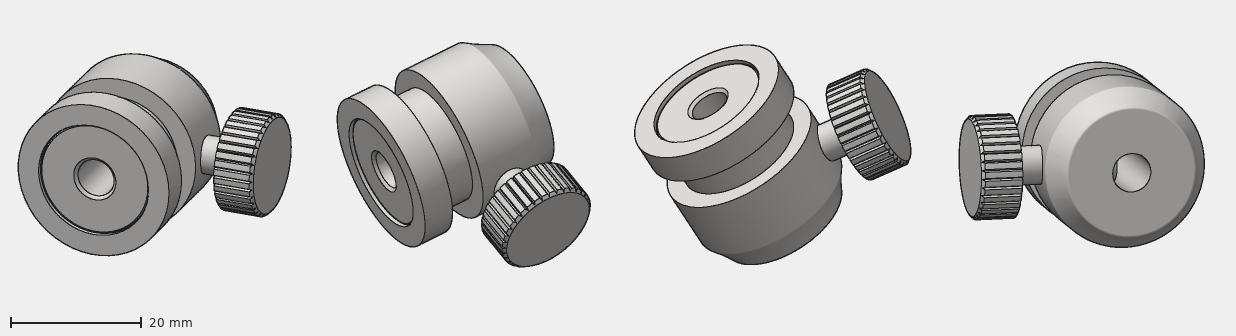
import cadquery as cq
import math

overall_length = 35.63

body_diameter = 25.0
body_length = 25.0
flange_thickness = 5.0
neck_diameter = 19.0
neck_end = 10.5
barrel_end = 20.45
nose_diameter = 20.15
nose_flare_radius = 25.0
nose_edge_fillet = 0.35

bore_diameter = 6.0
bore_chamfer = 0.5
recess_diameter = 18.2
disc_diameter = 18.0
disc_drop = 0.5
disc_chamfer = 0.2
recess_depth = disc_drop + disc_chamfer

screw_y = 15.5
stem_diameter = 6.0
stem_tip_x = 0.75
knob_diameter = 16.0
knob_start_x = 16.75
knob_end_x = overall_length - body_diameter / 2
knob_chamfer = 0.5

notch_count = 36
notch_pitch = 360 / notch_count
notch_phase = -3.0
notch_depth = 0.35
notch_width = 0.43
notch_overrun = 0.18


def cylinder_along_y(diameter, start, end):
    front_plane = cq.Workplane("XZ", origin=(0, start, 0))
    return front_plane.circle(diameter / 2).extrude(start - end)


def cylinder_along_x(diameter, start, end):
    end_plane = cq.Workplane("YZ", origin=(start, screw_y, 0))
    return end_plane.circle(diameter / 2).extrude(end - start)


def flare_midpoint(start, end, radius):
    """Middle point of a concave arc that bends toward the body axis."""
    run_x = end[0] - start[0]
    run_y = end[1] - start[1]
    chord = math.hypot(run_x, run_y)
    sagitta = radius - math.sqrt(radius**2 - (chord / 2) ** 2)
    middle_x = (start[0] + end[0]) / 2 - sagitta * run_y / chord
    middle_y = (start[1] + end[1]) / 2 + sagitta * run_x / chord
    return middle_x, middle_y


def make_body():
    """Flange, neck, barrel and flared nose as one revolved profile."""
    body_radius = body_diameter / 2
    neck_radius = neck_diameter / 2
    flare_start = (body_radius, barrel_end)
    flare_end = (nose_diameter / 2, body_length)
    profile = (
        cq.Workplane("XY")
        .lineTo(body_radius, 0)
        .lineTo(body_radius, flange_thickness)
        .lineTo(neck_radius, flange_thickness)
        .lineTo(neck_radius, neck_end)
        .lineTo(body_radius, neck_end)
        .lineTo(*flare_start)
        .threePointArc(flare_midpoint(flare_start, flare_end, nose_flare_radius), flare_end)
        .lineTo(0, body_length)
        .close()
    )
    body = profile.revolve(360, (0, 0, 0), (0, 1, 0))
    nose_edges = body.edges(">Y or >>Y[-3]")
    return nose_edges.fillet(nose_edge_fillet)


def make_front_disc():
    """Disc with a chamfered rim, standing on the floor of the front recess."""
    disc = cylinder_along_y(disc_diameter, disc_drop, flange_thickness)
    return disc.faces("<Y").chamfer(disc_chamfer)


def make_bore():
    """Through bore with a countersunk mouth in the disc."""
    bore_radius = bore_diameter / 2
    mouth_radius = bore_radius + bore_chamfer
    profile = (
        cq.Workplane("XY")
        .lineTo(mouth_radius, 0)
        .lineTo(mouth_radius, disc_drop)
        .lineTo(bore_radius, disc_drop + bore_chamfer)
        .lineTo(bore_radius, body_length)
        .lineTo(0, body_length)
        .close()
    )
    return profile.revolve(360, (0, 0, 0), (0, 1, 0))


def make_knob():
    """Knurled knob with a chamfered outer end and V-shaped grip notches."""
    radius = knob_diameter / 2
    knob = cylinder_along_x(knob_diameter, knob_start_x, knob_end_x)
    knob = knob.faces(">X").chamfer(knob_chamfer)
    half_mouth = notch_width / 2 * (notch_depth + notch_overrun) / notch_depth
    notch = (
        cq.Workplane("YZ", origin=(knob_start_x, screw_y, 0))
        .moveTo(0, radius - notch_depth)
        .lineTo(half_mouth, radius + notch_overrun)
        .lineTo(-half_mouth, radius + notch_overrun)
        .close()
        .extrude(knob_end_x - knob_start_x)
    )
    for index in range(notch_count):
        angle = notch_phase + index * notch_pitch
        knob = knob.cut(notch.rotate((0, screw_y, 0), (1, screw_y, 0), angle))
    return knob


body = make_body().cut(cylinder_along_y(recess_diameter, 0, recess_depth))
body = body.union(make_front_disc()).cut(make_bore())
stem = cylinder_along_x(stem_diameter, stem_tip_x, knob_start_x)
result = body.union(stem).union(make_knob())